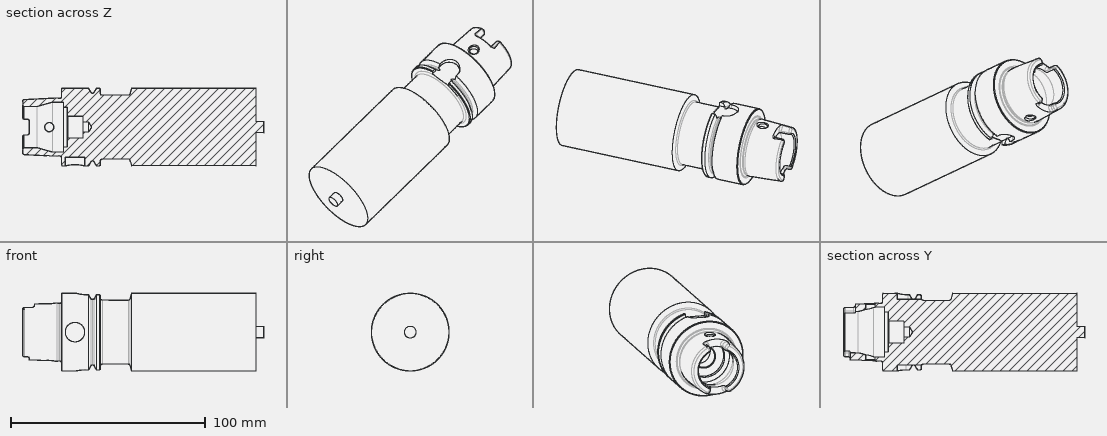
import cadquery as cq
import math


select_margin = 0.01

body_radius = 20.0
body_front_x = 36.0
body_end_x = 100.0
pin_radius = 3.0
pin_length = 4.0
neck_radius = 16.5
neck_fillet = 1.0
body_face_angle = 15.0
body_face_fillet = 0.8

flange_length = 20.0
flange_chamfer = 0.4
flange_recess_radius = 16.3
flange_recess_depth = 0.1
groove_center_x = 16.0
groove_width = 4.0
groove_root_radius = 17.45
groove_flank_angle = 30.0
groove_root_fillet = 0.8

shank_length = 19.9
taper_gauge_x = -4.0
taper_gauge_radius = 14.95
taper_slope = 0.05
shank_edge_round = 1.0
relief_start_x = -2.2
relief_root_x = -1.2
relief_radius = 29.71 / 2
relief_fillet = 0.8

bore_radius = 10.5
bore_chamfer = 0.6
clamp_cone_x = -12.5
clamp_radius = 12.75
clamp_cone_angle = 16.0
clamp_end_x = 1.0
seat_radius = 10.2
bore_floor_x = 3.0
tube_radius = 5.5
tube_chamfer_radius = 5.9
tube_depth = 8.0
drill_radius = 2.5
drill_depth = 3.0
drill_tip_angle = 118.0

drive_slot_width = 8.0
drive_slot_round = 2.0
drive_slot_shoulder_height = 12.75
upper_drive_slot_depth = 6.0
lower_drive_slot_depth = 3.4
drive_slot_corner = 1.0

cross_hole_x = -6.2
cross_hole_radius = 2.3
cross_hole_mouth_radius = 3.0

keyway_start_x = 7.7
keyway_end_x = flange_length + neck_fillet
upper_keyway_width = 11.0
lower_keyway_width = 9.0
keyway_floor_height = 17.0
pocket_x = 7.0
pocket_radius = 5.0
pocket_floor_distance = 15.5


def tangent(degrees):
    """Tangent of an angle in degrees."""
    return math.tan(math.radians(degrees))


def taper_radius(x):
    """Radius of the shank cone at a place along the axis."""
    return taper_gauge_radius + taper_slope * (x - taper_gauge_x)


def revolve_about_axis(profile):
    """Close a half outline and turn it about the tool axis."""
    return profile.close().revolve(360, (0, 0, 0), (1, 0, 0))


def fillet_ring(solid, x, radius, fillet_radius):
    """Round the circular edge of the given radius around the axis at x."""
    near = cq.selectors.BoxSelector(
        (x - select_margin, -radius - select_margin, -radius - select_margin),
        (x + select_margin, radius + select_margin, radius + select_margin),
        boundingbox=True,
    )
    return solid.edges(near).fillet(fillet_radius)


def make_outside():
    """Turned outside of shank, flange, neck and body, with the pin on the end."""
    flank_run = (body_radius - groove_root_radius) * tangent(groove_flank_angle)
    groove_front = groove_center_x - groove_width / 2
    groove_rear = groove_center_x + groove_width / 2
    root_front = groove_front + flank_run
    root_rear = groove_rear - flank_run
    neck_end_x = body_front_x - (body_radius - neck_radius) * tangent(body_face_angle)
    outline = (
        cq.Workplane("XY")
        .moveTo(-shank_length, 0)
        .lineTo(-shank_length, taper_radius(-shank_length))
        .lineTo(relief_start_x, taper_radius(relief_start_x))
        .lineTo(relief_root_x, relief_radius)
        .lineTo(flange_recess_depth, relief_radius)
        .lineTo(0, flange_recess_radius)
        .lineTo(0, body_radius - flange_chamfer)
        .lineTo(flange_chamfer, body_radius)
        .lineTo(groove_front, body_radius)
        .lineTo(root_front, groove_root_radius)
        .lineTo(root_rear, groove_root_radius)
        .lineTo(groove_rear, body_radius)
        .lineTo(flange_length - flange_chamfer, body_radius)
        .lineTo(flange_length, body_radius - flange_chamfer)
        .lineTo(flange_length, neck_radius)
        .lineTo(neck_end_x, neck_radius)
        .lineTo(body_front_x, body_radius)
        .lineTo(body_end_x, body_radius)
        .lineTo(body_end_x, 0)
    )
    turned = revolve_about_axis(outline)
    turned = fillet_ring(turned, flange_recess_depth, relief_radius, relief_fillet)
    turned = fillet_ring(turned, root_front, groove_root_radius, groove_root_fillet)
    turned = fillet_ring(turned, root_rear, groove_root_radius, groove_root_fillet)
    turned = fillet_ring(turned, flange_length, neck_radius, neck_fillet)
    turned = fillet_ring(turned, neck_end_x, neck_radius, body_face_fillet)
    pin = cq.Workplane("YZ", origin=(body_end_x, 0, 0)).circle(pin_radius).extrude(pin_length)
    return turned.union(pin)


def make_cavity():
    """Clamping bore, coolant tube bore and the drilled hole at its bottom."""
    mouth_x = -shank_length
    clamp_cone_run = (clamp_radius - bore_radius) / tangent(clamp_cone_angle)
    tube_chamfer = tube_chamfer_radius - tube_radius
    tube_end_x = bore_floor_x + tube_depth
    drill_end_x = tube_end_x + drill_depth
    drill_tip = drill_radius / tangent(drill_tip_angle / 2)
    outline = (
        cq.Workplane("XY")
        .moveTo(mouth_x, 0)
        .lineTo(mouth_x, bore_radius + bore_chamfer)
        .lineTo(mouth_x + bore_chamfer, bore_radius)
        .lineTo(clamp_cone_x, bore_radius)
        .lineTo(clamp_cone_x + clamp_cone_run, clamp_radius)
        .lineTo(clamp_end_x, clamp_radius)
        .lineTo(clamp_end_x, seat_radius)
        .lineTo(bore_floor_x, seat_radius)
        .lineTo(bore_floor_x, tube_chamfer_radius)
        .lineTo(bore_floor_x + tube_chamfer, tube_radius)
        .lineTo(tube_end_x, tube_radius)
        .lineTo(tube_end_x, drill_radius)
        .lineTo(drill_end_x, drill_radius)
        .lineTo(drill_end_x + drill_tip, 0)
    )
    return revolve_about_axis(outline)


def is_slot_wall(edge):
    """True for the straight walls and the flaring rounds of a drive slot's outline."""
    middle = edge.Center()
    upright = abs(edge.startPoint().y - edge.endPoint().y) < select_margin
    is_wall = upright and abs(middle.z) < drive_slot_shoulder_height - drive_slot_round
    return edge.geomType() == "CIRCLE" or is_wall


def drive_slot(depth, side):
    """Slot in the shank end whose walls flare out in rounds to flat shoulders."""
    half_width = drive_slot_width / 2
    center_y = half_width + drive_slot_round
    top_z = drive_slot_shoulder_height
    center_z = top_z - drive_slot_round
    outer_y = center_y + drive_slot_round
    mid = drive_slot_round * math.sqrt(0.5)
    outer_z = top_z + 2 * drive_slot_round
    profile = (
        cq.Workplane("YZ", origin=(-shank_length, 0, 0))
        .moveTo(-half_width, 0)
        .lineTo(-half_width, side * center_z)
        .threePointArc((-center_y + mid, side * (center_z + mid)), (-center_y, side * top_z))
        .lineTo(-outer_y, side * top_z)
        .lineTo(-outer_y, side * outer_z)
        .lineTo(outer_y, side * outer_z)
        .lineTo(outer_y, side * top_z)
        .lineTo(center_y, side * top_z)
        .threePointArc((center_y - mid, side * (center_z + mid)), (half_width, side * center_z))
        .lineTo(half_width, 0)
        .close()
    )
    slot = profile.extrude(depth)
    inner_end_edges = [edge for edge in slot.faces(">X").edges().vals() if is_slot_wall(edge)]
    return slot.newObject(inner_end_edges).fillet(drive_slot_corner)


def keyway(width, side):
    """Round-ended keyway, open to the rear of the flange."""
    end_radius = width / 2
    center_x = keyway_start_x + end_radius
    return (
        cq.Workplane("XY", origin=(0, 0, side * keyway_floor_height))
        .moveTo(keyway_end_x, -end_radius)
        .lineTo(center_x, -end_radius)
        .threePointArc((keyway_start_x, 0), (center_x, end_radius))
        .lineTo(keyway_end_x, end_radius)
        .close()
        .extrude(side * body_radius)
    )


def cross_hole(side):
    """Radial hole through the shank wall, countersunk on the outside."""
    surface_z = taper_radius(cross_hole_x)
    sink = cross_hole_mouth_radius - cross_hole_radius
    profile = (
        cq.Workplane("XZ", origin=(cross_hole_x, 0, 0))
        .lineTo(cross_hole_radius, 0)
        .lineTo(cross_hole_radius, side * (surface_z - sink))
        .lineTo(cross_hole_mouth_radius + sink, side * (surface_z + sink))
        .lineTo(0, side * (surface_z + sink))
        .close()
    )
    return profile.revolve(360, (0, 0, 0), (0, 1, 0))


def side_pocket():
    """Flat-bottomed round pocket in the -Y side of the flange."""
    pocket = cq.Workplane("XZ", origin=(pocket_x, -pocket_floor_distance, 0))
    return pocket.circle(pocket_radius).extrude(body_radius)


def cut_drive_slots(solid):
    """Cut both drive slots, then round the outline of the end face they leave."""
    upper_slot = drive_slot(upper_drive_slot_depth, 1)
    lower_slot = drive_slot(lower_drive_slot_depth, -1)
    return solid.cut(upper_slot).cut(lower_slot).faces("<X").edges().fillet(shank_edge_round)


holder = cut_drive_slots(make_outside())
holder = holder.cut(make_cavity())
for side in (1, -1):
    holder = holder.cut(cross_hole(side))
holder = holder.cut(keyway(upper_keyway_width, 1))
holder = holder.cut(keyway(lower_keyway_width, -1))
result = holder.cut(side_pocket())